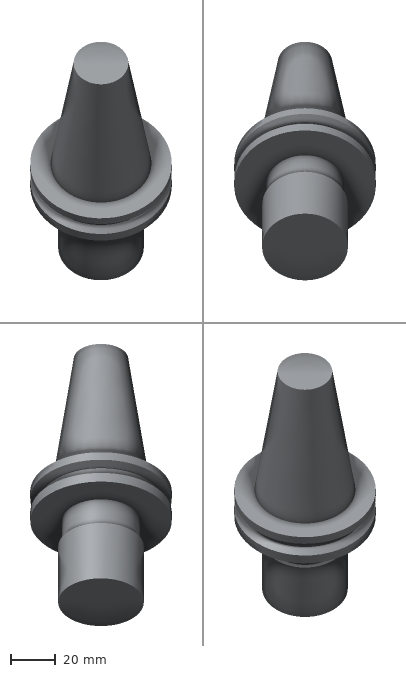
import cadquery as cq
import math

total_height = 131.4
nose_diameter = 38.5
nose_height = 30.0
neck_diameter = 35.0
neck_height = 13.9
flange_diameter = 63.6
groove_diameter = 56.0
groove_side_angle = 30.0
taper_small_diameter = 24.6
taper_large_diameter = 45.3

lower_rim_height = 4.7
groove_floor_bottom = 6.5
groove_floor_top = 9.9
upper_rim_bottom = 11.8
flange_height = 15.9

flange_bottom = nose_height + neck_height
flange_top = flange_bottom + flange_height


def cylinder(diameter, bottom, height):
    """Solid cylinder on the Z axis."""
    return cq.Workplane("XY").workplane(offset=bottom).circle(diameter / 2).extrude(height)


def flange():
    """Gripper flange with a groove whose sloping sides end in narrow flat ledges."""
    rim_radius = flange_diameter / 2
    groove_radius = groove_diameter / 2
    side_slope = math.tan(math.radians(groove_side_angle))
    lower_ledge_radius = rim_radius - (groove_floor_bottom - lower_rim_height) / side_slope
    upper_ledge_radius = rim_radius - (upper_rim_bottom - groove_floor_top) / side_slope
    profile = [
        (0, 0),
        (rim_radius, 0),
        (rim_radius, lower_rim_height),
        (lower_ledge_radius, groove_floor_bottom),
        (groove_radius, groove_floor_bottom),
        (groove_radius, groove_floor_top),
        (upper_ledge_radius, groove_floor_top),
        (rim_radius, upper_rim_bottom),
        (rim_radius, flange_height),
        (0, flange_height),
    ]
    body = cq.Workplane("XZ").polyline(profile).close().revolve(360, (0, 0, 0), (0, 1, 0))
    return body.translate((0, 0, flange_bottom))


def taper():
    """Solid spindle taper narrowing upward from the flange."""
    profile = [
        (0, flange_top),
        (taper_large_diameter / 2, flange_top),
        (taper_small_diameter / 2, total_height),
        (0, total_height),
    ]
    return cq.Workplane("XZ").polyline(profile).close().revolve(360, (0, 0, 0), (0, 1, 0))


nose = cylinder(nose_diameter, 0, nose_height)
neck = cylinder(neck_diameter, nose_height, neck_height)
result = nose.union(neck).union(flange()).union(taper())